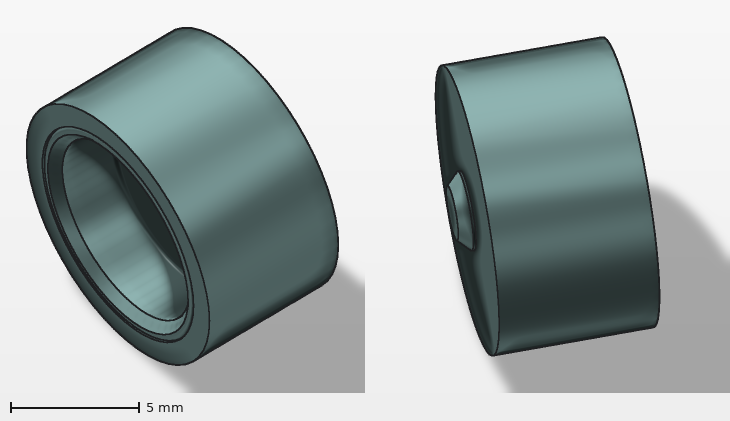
import cadquery as cq

housing_diameter = 11.5
overall_length = 7.0
button_height = 0.6
housing_length = overall_length - button_height

cup_diameter = 9.5
cup_bore_diameter = 8.0
cup_depth = 3.0
cup_floor_thickness = 0.75
cup_length = cup_depth + cup_floor_thickness
rim_round = 0.2
floor_fillet = 0.2
mouth_chamfer = 0.4

button_diameter = 3.16
button_cone_height = 0.5
button_shank_length = housing_length - cup_length


def cylinder(diameter, start, length):
    """Solid cylinder along +Y whose front face is at y = start."""
    front_plane = cq.Workplane("XZ", origin=(0, start, 0))
    return front_plane.circle(diameter / 2).extrude(-length)


def make_housing():
    """Sleeve with a seat for the cup and a smaller hole for the button."""
    body = cylinder(housing_diameter, 0, housing_length)
    seat = cylinder(cup_diameter, 0, cup_length)
    button_hole = cylinder(button_diameter, cup_length, button_shank_length)
    return body.cut(seat).cut(button_hole)


def make_cup():
    """Cup with a rounded outer rim, chamfered mouth and filleted floor."""
    body = cylinder(cup_diameter, 0, cup_length)
    body = body.faces("<Y").edges().fillet(rim_round)
    bore = cylinder(cup_bore_diameter, 0, cup_depth)
    bore = bore.faces(">Y").edges().fillet(floor_fillet)
    bore_radius = cup_bore_diameter / 2
    mouth = cq.Workplane("XY").polyline([
        (0, 0),
        (bore_radius + mouth_chamfer, 0),
        (bore_radius, mouth_chamfer),
        (0, mouth_chamfer),
    ]).close().revolve(360, (0, 0, 0), (0, 1, 0))
    return body.cut(bore).cut(mouth)


def make_button():
    """Round plug with a 45 degree conical end standing out of the housing."""
    body = cylinder(button_diameter, cup_length, button_shank_length + button_height)
    return body.faces(">Y").edges().chamfer(button_cone_height)


housing = make_housing()
cup = make_cup()
button = make_button()

result = cq.Compound.makeCompound([housing.val(), cup.val(), button.val()])